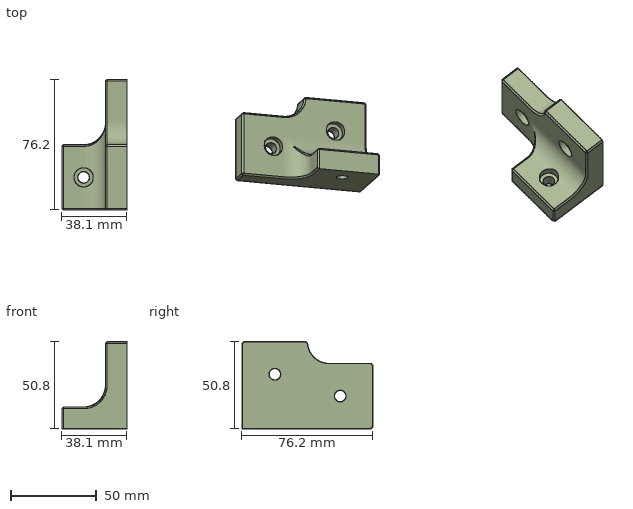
import cadquery as cq
import math

unit = 12.7
edge_chamfer = 1.0
hole_diameter = 6.6
counterbore_diameter = 11.18
counterbore_depth = 4.3

width = 3 * unit
length = 6 * unit
height = 4 * unit

foot_length = 3 * unit
foot_flat = unit

plate_face = width - unit
low_height = 3 * unit

hole_inset = 1.5 * unit
foot_hole = (foot_flat, hole_inset)
plate_holes = [
    (hole_inset, height - hole_inset),
    (length - hole_inset, hole_inset),
]


def side_section():
    """L section of foot and plate, swept along Y."""
    return (
        cq.Workplane("XZ")
        .lineTo(width, 0)
        .lineTo(width, height)
        .lineTo(plate_face, height)
        .lineTo(plate_face, 2 * unit)
        .radiusArc((foot_flat, unit), unit)
        .lineTo(0, unit)
        .close()
        .extrude(-length)
    )


def plan_section():
    """L section of foot and plate, swept along Z."""
    return (
        cq.Workplane("XY")
        .lineTo(width, 0)
        .lineTo(width, length)
        .lineTo(plate_face, length)
        .lineTo(plate_face, foot_length + unit)
        .radiusArc((foot_flat, foot_length), unit)
        .lineTo(0, foot_length)
        .close()
        .extrude(height)
    )


def plate_section():
    """Stepped outline of the plate, swept along X."""
    return (
        cq.Workplane("YZ")
        .lineTo(length, 0)
        .lineTo(length, low_height)
        .lineTo(foot_length + unit, low_height)
        .radiusArc((foot_length, height), unit)
        .lineTo(0, height)
        .close()
        .extrude(width)
    )


def chamfer_edges(body):
    """Chamfer the exposed edges, except the top back edge of the foot.

    Each edge is named by its midpoint and carries its tangent edges along.
    """
    plate_mid_x = (plate_face + width) / 2
    foot_mid_x = foot_flat / 2
    foot_mid_y = foot_length / 2
    foot_mid_z = unit / 2
    low_end_mid_y = (foot_length + unit + length) / 2
    midpoints = [
        (0, 0, foot_mid_z),
        (0, foot_length, foot_mid_z),
        (0, foot_mid_y, unit),
        (foot_mid_x, 0, unit),
        (foot_mid_x, foot_length, 0),
        (plate_mid_x, 0, height),
        (plate_mid_x, foot_length, height),
        (plate_face, foot_mid_y, height),
        (plate_face, low_end_mid_y, low_height),
        (plate_face, length, low_height / 2),
        (plate_mid_x, length, low_height),
        (plate_mid_x, length, 0),
    ]
    edges = [body.edges(cq.NearestToPointSelector(point)).val() for point in midpoints]
    return body.newObject(edges).chamfer(edge_chamfer)


def bevel_ridge(body):
    """Bevel the top back edge of the foot and the ridge where the two inside corners meet.

    The bevel is swept along the diagonal (0, 1, -1). It is edge_chamfer wide on each face along the
    foot and runs out to nothing where the ridge meets the plate, along a quarter of an ellipse.
    """
    section = cq.Plane(
        origin=(foot_flat, foot_length + unit, 2 * unit),
        xDir=(1, 0, 0),
        normal=(0, -1, 1),
    )
    rise = (2 * unit + edge_chamfer) / math.sqrt(2)
    reach = 2 * unit
    cutter = (
        cq.Workplane(section)
        .workplane(offset=-reach)
        .moveTo(-foot_flat, 0)
        .lineTo(-foot_flat, -rise)
        .lineTo(0, -rise)
        .ellipseArc(unit, rise, -90, 0, startAtCurrent=True)
        .close()
        .extrude(2 * reach)
    )
    return body.cut(cutter)


def bevel_foot_corner(body):
    """Flat triangle where the three chamfers at the top back corner of the foot meet."""
    corner = cq.Plane(
        origin=(edge_chamfer, foot_length - edge_chamfer, unit),
        xDir=(1, 1, 0),
        normal=(-1, 1, 1),
    )
    cutter = cq.Workplane(corner).circle(2 * edge_chamfer).extrude(edge_chamfer)
    return body.cut(cutter)


def counterbored_cutter(plane, through_depth):
    """Counterbored hole along the plane normal, starting at its origin.

    The counterbore also reaches back from the origin, to clear the inside corner.
    """
    hole = cq.Workplane(plane).circle(hole_diameter / 2).extrude(through_depth)
    bore = (
        cq.Workplane(plane)
        .workplane(offset=-unit)
        .circle(counterbore_diameter / 2)
        .extrude(unit + counterbore_depth)
    )
    return hole.union(bore)


def cut_holes(body):
    """One hole down through the foot and two through the plate."""
    foot_x, foot_y = foot_hole
    down = cq.Plane(origin=(foot_x, foot_y, unit), xDir=(1, 0, 0), normal=(0, 0, -1))
    body = body.cut(counterbored_cutter(down, unit))
    for hole_y, hole_z in plate_holes:
        across = cq.Plane(origin=(plate_face, hole_y, hole_z), xDir=(0, 1, 0), normal=(1, 0, 0))
        body = body.cut(counterbored_cutter(across, unit))
    return body


blank = side_section().intersect(plan_section()).intersect(plate_section())
beveled = bevel_foot_corner(bevel_ridge(chamfer_edges(blank)))
result = cut_holes(beveled)